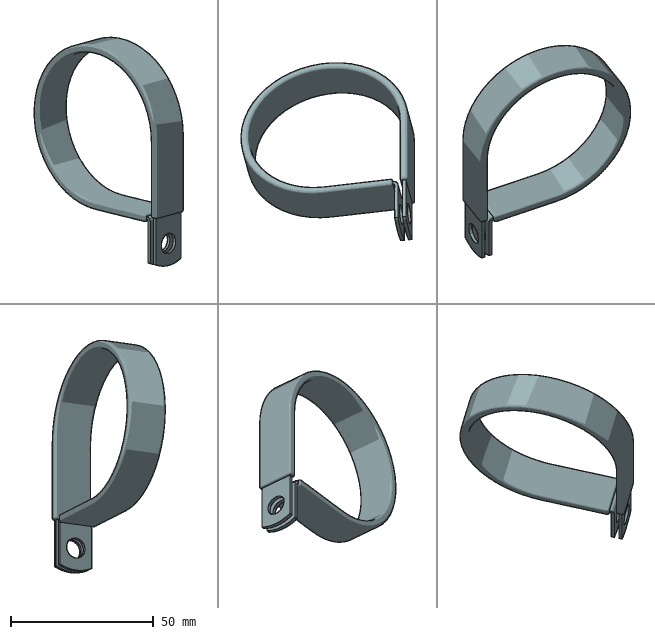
import cadquery as cq
import math

outer_radius = 29.8
edge_radius = 0.8
strap_thickness = 1.2
cushion_thickness = strap_thickness + 2 * edge_radius
cushion_width = 14.3
inner_radius = outer_radius - cushion_thickness
vertical_end_drop = 27.7
horizontal_end_reach = 24.3

overall_height = 75.8
tab_bottom = outer_radius - overall_height
tab_width = cushion_width - 2 * edge_radius
tip_sagitta = 1.45
bend_inner_radius = 0.6
bend_outer_radius = bend_inner_radius + strap_thickness
hole_diameter = 7.2
hole_height = 8.0

strap_outer = outer_radius - edge_radius
strap_inner = strap_outer - strap_thickness


def is_leg_end(point):
    """True for a point on the free end of either cushion leg."""
    tolerance = 0.001
    on_vertical_end = point.x > inner_radius - tolerance and abs(point.z + vertical_end_drop) < tolerance
    on_horizontal_end = abs(point.x - horizontal_end_reach) < tolerance
    return on_vertical_end or on_horizontal_end


def make_cushion():
    """Three-quarter ring with two tangent straight legs, rounded on every outer edge."""
    diagonal = math.sqrt(0.5)
    outline = (
        cq.Workplane("XZ")
        .moveTo(outer_radius, -vertical_end_drop)
        .lineTo(outer_radius, 0)
        .threePointArc((-outer_radius * diagonal, outer_radius * diagonal), (0, -outer_radius))
        .lineTo(horizontal_end_reach, -outer_radius)
        .lineTo(horizontal_end_reach, -inner_radius)
        .lineTo(0, -inner_radius)
        .threePointArc((-inner_radius * diagonal, inner_radius * diagonal), (inner_radius, 0))
        .lineTo(inner_radius, -vertical_end_drop)
        .close()
    )
    body = outline.extrude(cushion_width / 2, both=True)
    end_corners = body.edges("|Y").filter(lambda edge: is_leg_end(edge.Center()))
    return body.faces("<Y or >Y").edges().add(end_corners).fillet(edge_radius)


def make_straight_tab():
    """Strap continuing straight down from the vertical leg."""
    return (
        cq.Workplane("XZ")
        .moveTo(strap_inner, tab_bottom)
        .lineTo(strap_outer, tab_bottom)
        .lineTo(strap_outer, edge_radius - vertical_end_drop)
        .lineTo(strap_inner, edge_radius - vertical_end_drop)
        .close()
        .extrude(tab_width / 2, both=True)
    )


def make_bent_tab():
    """Strap leaving the horizontal leg and bending down beside the straight tab."""
    bend_x = horizontal_end_reach
    bend_z = -strap_inner - bend_outer_radius
    start_x = bend_x - edge_radius
    return (
        cq.Workplane("XZ")
        .moveTo(start_x, -strap_inner)
        .lineTo(bend_x, -strap_inner)
        .radiusArc((bend_x + bend_outer_radius, bend_z), bend_outer_radius)
        .lineTo(bend_x + bend_outer_radius, tab_bottom)
        .lineTo(bend_x + bend_inner_radius, tab_bottom)
        .lineTo(bend_x + bend_inner_radius, bend_z)
        .radiusArc((bend_x, -strap_outer), -bend_inner_radius)
        .lineTo(start_x, -strap_outer)
        .close()
        .extrude(tab_width / 2, both=True)
    )


def make_tab_envelope():
    """Side outline of both tabs, with an arched tip and the bolt hole."""
    half_width = tab_width / 2
    return (
        cq.Workplane("YZ")
        .moveTo(-half_width, 0)
        .lineTo(-half_width, tab_bottom + tip_sagitta)
        .threePointArc((0, tab_bottom), (half_width, tab_bottom + tip_sagitta))
        .lineTo(half_width, 0)
        .close()
        .moveTo(0, tab_bottom + hole_height)
        .circle(hole_diameter / 2)
        .extrude(outer_radius)
    )


tabs = make_straight_tab().union(make_bent_tab()).intersect(make_tab_envelope())
result = make_cushion().union(tabs)